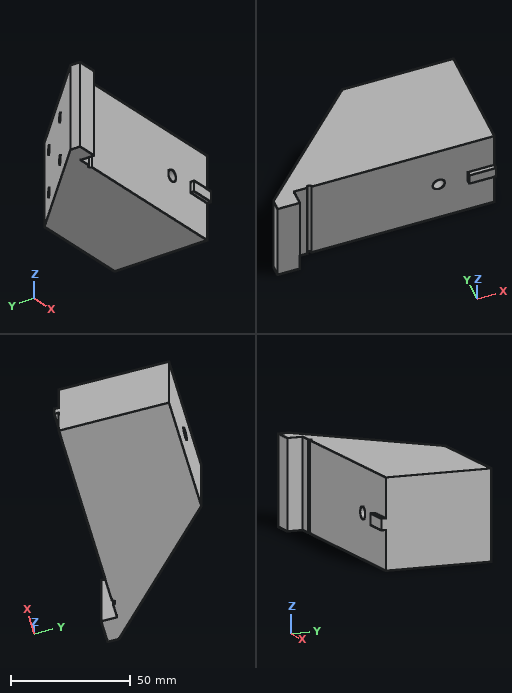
import cadquery as cq

length = 100.0
width = 55.0
height = 40.0

slope_run = 50.0
slope_start_y = width - slope_run

foot_length = 10.0
face_y = 7.0

groove_x = 17.0
groove_radius = 1.0

key_length = 12.0
key_depth = 2.0
key_height = 5.0

cross_hole_x = 75.0
cross_hole_diameter = 5.4

slope_hole_diameter = 4.2
slope_hole_depth = 10.0
slope_hole_spacing = 30.0
slope_hole_row_spacing = 20.0
slope_hole_top_margin = 12.2


def make_body():
    """Extrude the plan outline with its foot and sloped face."""
    outline = [
        (0, 0),
        (foot_length, 0),
        (foot_length, face_y),
        (length, face_y),
        (length, width),
        (slope_run, width),
        (0, slope_start_y),
    ]
    return cq.Workplane("XY").polyline(outline).close().extrude(height)


def make_groove():
    """Round cutter centred on the front face, running the full height."""
    return cq.Workplane("XY").center(groove_x, face_y).circle(groove_radius).extrude(height)


def make_key():
    """Rectangular key standing out from the front face at mid height."""
    corner = (length - key_length, face_y - key_depth, (height - key_height) / 2)
    return cq.Workplane("XY").box(key_length, key_depth, key_height, centered=False).translate(corner)


def make_cross_hole():
    """Cutter through the full width at mid height."""
    front = cq.Plane(origin=(cross_hole_x, 0, height / 2), xDir=(1, 0, 0), normal=(0, 1, 0))
    return cq.Workplane(front).circle(cross_hole_diameter / 2).extrude(width)


def make_slope_holes():
    """Four cutters entering the sloped face at right angles."""
    slope = cq.Plane(origin=(slope_run, width, height / 2), xDir=(-1, -1, 0), normal=(1, -1, 0))
    pattern_centre = slope_hole_top_margin + slope_hole_spacing / 2
    return (
        cq.Workplane(slope)
        .center(pattern_centre, 0)
        .rect(slope_hole_spacing, slope_hole_row_spacing, forConstruction=True)
        .vertices()
        .circle(slope_hole_diameter / 2)
        .extrude(slope_hole_depth)
    )


result = (
    make_body()
    .cut(make_groove())
    .union(make_key())
    .cut(make_cross_hole())
    .cut(make_slope_holes())
)